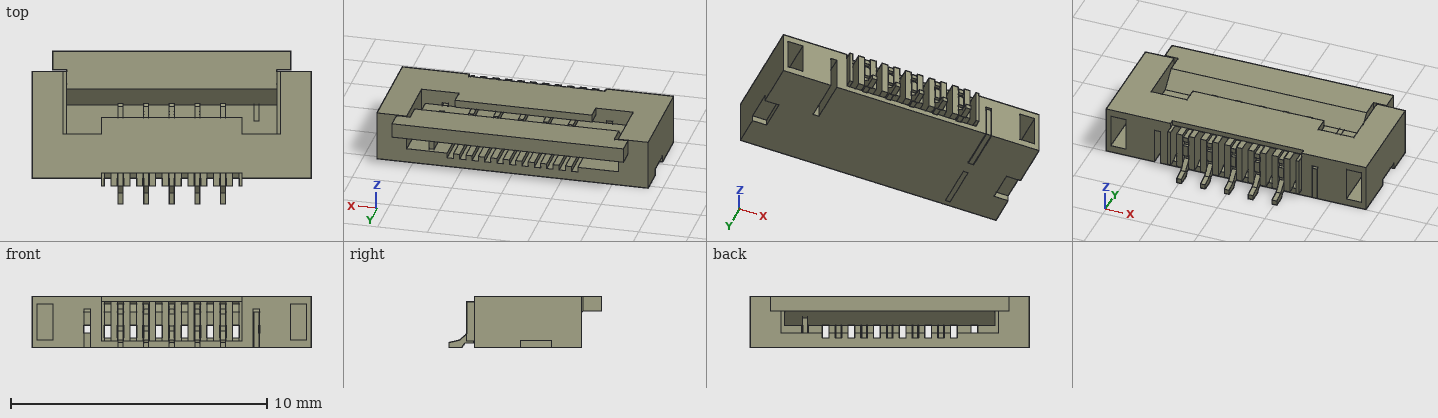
import cadquery as cq


HOUSING_WIDTH = 10.9
HOUSING_DEPTH = 4.18
HEIGHT = 2.0
CAVITY_WIDTH = 8.5
CAVITY_FRONT = 1.74
CAVITY_FLOOR = 0.58
ROOF_TAB_REACH = 2.375
ROOF_UNDERSIDE = 1.7

COMB_WIDTH = 5.5
COMB_REACH = 0.3
COMB_BOTTOM = 0.25
COMB_TOP = 1.8
COMB_BACK = 0.2
SLOT_PITCH = 0.5
SLOT_COUNT = 11
SLOT_WIDTH = 0.25
SLOT_FLOOR = 0.38
SLOT_LEAD_IN = COMB_TOP - ROOF_UNDERSIDE

POCKET_WIDTH = 0.63
POCKET_BOTTOM = 0.3
POCKET_TOP = 1.7
POCKET_DEPTH = 2.0
POCKET_X = 4.94
SLIT_X = 3.3
SLIT_TOP = 1.5

NOTCH_FRONT = 1.8
NOTCH_BACK = 3.0
NOTCH_HEIGHT = 0.27
NOTCH_DEPTH = 0.6

PLATE_THICKNESS = 0.2
PLATE_LENGTH = CAVITY_FRONT
PLATE_HEIGHT = 1.4
REAR_PLATE_FRONT = 2.23

FLANGE_WIDTH = 9.3
FLANGE_FRONT = 4.23
SLIDER_BACK = 4.97
SLIDER_UNDERSIDE = 1.42
TONGUE_WIDTH = 8.2
TONGUE_BOTTOM = 0.87
TONGUE_TOP = PLATE_HEIGHT
RAMP_BOTTOM_Y = 2.86
RAMP_TOP_Y = 3.49

CONTACT_COUNT = 5
CONTACT_PITCH = 2 * SLOT_PITCH
CONTACT_WIDTH = 0.2
BEAM_BOTTOM = 1.5
BEAM_END = 2.92
TIP_CHAMFER = 0.12
TIP_BACK = 2.6
TIP_DROP = BEAM_BOTTOM - TONGUE_TOP
SPINE_BACK = 1.2
SPINE_FRONT = -0.18
BARB_BOTTOM = 0.84
BARB_TOP = 1.31
LEG_TOP = 0.65
LEG_BEND_Y = -0.575
LEG_BEND_Z = 0.3
HEEL_BACK = -0.03
HEEL_FRONT = -0.37
HEEL_BOTTOM = 0.175
FOOT_BACK = -0.49
FOOT_TIP = -1.0
FOOT_THICKNESS = 0.2


def box(x_range, y_range, z_range):
    """Box between two limits on each axis."""
    size = [high - low for low, high in (x_range, y_range, z_range)]
    corner = (x_range[0], y_range[0], z_range[0])
    return cq.Workplane("XY").box(*size, centered=False).translate(corner)


def centred_box(width, y_range, z_range, x=0):
    """Box centred on the given X."""
    return box((x - width / 2, x + width / 2), y_range, z_range)


def side_profile(points, width, x=0):
    """Outline of (Y, Z) points extruded along X, centred on the given X."""
    return cq.Workplane("YZ").polyline(points).close().extrude(width / 2, both=True).translate((x, 0, 0))


def row(count, pitch):
    """X places of an evenly spaced row centred on the mid plane."""
    return [(i - (count - 1) / 2) * pitch for i in range(count)]


def make_slot(x):
    """Comb slot with sloped lead-ins, running back into the cavity and along its floor."""
    return side_profile(
        [
            (-COMB_REACH, COMB_BOTTOM),
            (0, COMB_BOTTOM),
            (COMB_BACK, SLOT_FLOOR),
            (HOUSING_DEPTH, SLOT_FLOOR),
            (HOUSING_DEPTH, CAVITY_FLOOR),
            (CAVITY_FRONT, CAVITY_FLOOR),
            (CAVITY_FRONT, ROOF_UNDERSIDE),
            (COMB_BACK + SLOT_LEAD_IN, ROOF_UNDERSIDE),
            (COMB_BACK, COMB_TOP),
            (-COMB_REACH, COMB_TOP),
        ],
        SLOT_WIDTH,
        x,
    )


def make_hold_down(front_y):
    """Upright plate on the right-hand side, standing on the board."""
    return centred_box(PLATE_THICKNESS, (front_y, front_y + PLATE_LENGTH), (0, PLATE_HEIGHT), SLIT_X)


def make_housing():
    body = centred_box(HOUSING_WIDTH, (0, HOUSING_DEPTH), (0, HEIGHT))

    body = body.cut(centred_box(CAVITY_WIDTH, (CAVITY_FRONT, HOUSING_DEPTH), (CAVITY_FLOOR, HEIGHT)))
    body = body.union(centred_box(COMB_WIDTH, (CAVITY_FRONT, ROOF_TAB_REACH), (ROOF_UNDERSIDE, HEIGHT)))

    body = body.cut(centred_box(COMB_WIDTH, (0, COMB_BACK), (COMB_TOP, HEIGHT)))
    body = body.union(centred_box(COMB_WIDTH, (-COMB_REACH, 0), (COMB_BOTTOM, COMB_TOP)))
    for x in row(SLOT_COUNT, SLOT_PITCH):
        body = body.cut(make_slot(x))

    for side in (-1, 1):
        pocket = centred_box(POCKET_WIDTH, (0, POCKET_DEPTH), (POCKET_BOTTOM, POCKET_TOP), side * POCKET_X)
        slit = centred_box(SLOT_WIDTH, (0, CAVITY_FRONT), (0, SLIT_TOP), side * SLIT_X)
        notch_x = side * (HOUSING_WIDTH - NOTCH_DEPTH) / 2
        notch = centred_box(NOTCH_DEPTH, (NOTCH_FRONT, NOTCH_BACK), (0, NOTCH_HEIGHT), notch_x)
        body = body.cut(pocket).cut(slit).cut(notch)

    return body.cut(make_hold_down(REAR_PLATE_FRONT))


def make_slider():
    """Wide rear flange with a ramped tongue that reaches to the front of the cavity."""
    flange = centred_box(FLANGE_WIDTH, (FLANGE_FRONT, SLIDER_BACK), (SLIDER_UNDERSIDE, HEIGHT))
    underside_drop = SLIDER_UNDERSIDE - TONGUE_BOTTOM
    tongue = side_profile(
        [
            (CAVITY_FRONT, TONGUE_BOTTOM),
            (FLANGE_FRONT - underside_drop, TONGUE_BOTTOM),
            (FLANGE_FRONT, SLIDER_UNDERSIDE),
            (FLANGE_FRONT, HEIGHT),
            (RAMP_TOP_Y, HEIGHT),
            (RAMP_BOTTOM_Y, TONGUE_TOP),
            (CAVITY_FRONT, TONGUE_TOP),
        ],
        TONGUE_WIDTH,
    )
    return flange.union(tongue).cut(make_hold_down(REAR_PLATE_FRONT))


def make_contact(x):
    """Fork contact: beams above and below the tongue, a barbed spine and a solder leg."""
    return side_profile(
        [
            (HEEL_BACK, HEEL_BOTTOM),
            (HEEL_FRONT, HEEL_BOTTOM),
            (FOOT_BACK, 0),
            (FOOT_TIP, 0),
            (FOOT_TIP, FOOT_THICKNESS),
            (LEG_BEND_Y, LEG_BEND_Z),
            (SPINE_FRONT, LEG_TOP),
            (SPINE_FRONT, BARB_BOTTOM),
            (-COMB_REACH, BARB_BOTTOM),
            (-COMB_REACH, BARB_TOP),
            (SPINE_FRONT, BARB_TOP),
            (SPINE_FRONT, BEAM_BOTTOM),
            (-COMB_REACH, BEAM_BOTTOM),
            (-COMB_REACH, ROOF_UNDERSIDE),
            (BEAM_END - TIP_CHAMFER, ROOF_UNDERSIDE),
            (BEAM_END, ROOF_UNDERSIDE - TIP_CHAMFER),
            (BEAM_END, TONGUE_TOP + BEAM_END - RAMP_BOTTOM_Y),
            (RAMP_BOTTOM_Y, TONGUE_TOP),
            (TIP_BACK, TONGUE_TOP),
            (TIP_BACK - TIP_DROP, BEAM_BOTTOM),
            (SPINE_BACK, BEAM_BOTTOM),
            (SPINE_BACK, CAVITY_FLOOR),
            (BEAM_END, CAVITY_FLOOR),
            (BEAM_END, SLOT_FLOOR),
            (HEEL_BACK, SLOT_FLOOR),
        ],
        CONTACT_WIDTH,
        x,
    )


housing = make_housing()
slider = make_slider()
hold_downs = [make_hold_down(front_y) for front_y in (0, REAR_PLATE_FRONT)]
contacts = [make_contact(x) for x in row(CONTACT_COUNT, CONTACT_PITCH)]

bodies = [housing, slider, *hold_downs, *contacts]

result = cq.Compound.makeCompound([body.solids().val() for body in bodies])